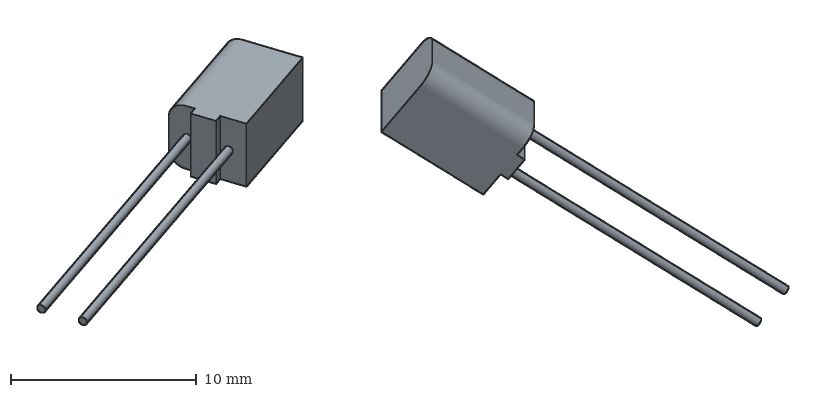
import cadquery as cq


overall_length = 24.3

housing_width = 4.7
housing_thickness = 4.2
housing_length = 6.78
corner_radius = 1.05

standoff_width = 1.53
standoff_height = 0.5

lead_diameter = 0.5
lead_pitch = 2.5
first_lead_inset = 1.12
lead_count = 2
lead_length = overall_length - housing_length


def make_housing():
    """Block with its two -X corners rounded, plus the full-thickness standoff rib."""
    block = (
        cq.Workplane("XY")
        .box(housing_width, housing_length, housing_thickness, centered=(True, False, True))
        .edges("|Y and <X")
        .fillet(corner_radius)
    )
    standoff = (
        cq.Workplane("XY")
        .box(standoff_width, standoff_height, housing_thickness, centered=(True, False, True))
        .translate((0, -standoff_height, 0))
    )
    return block.union(standoff)


def make_lead(x):
    """Round wire that starts on the lead face at the given X and runs toward -Y."""
    return (
        cq.Workplane("XZ")
        .center(x, 0)
        .circle(lead_diameter / 2)
        .extrude(lead_length)
    )


housing = make_housing()

first_lead_x = -housing_width / 2 + first_lead_inset
leads = [make_lead(first_lead_x + i * lead_pitch) for i in range(lead_count)]

result = cq.Compound.makeCompound([housing.val(), *[lead.val() for lead in leads]])